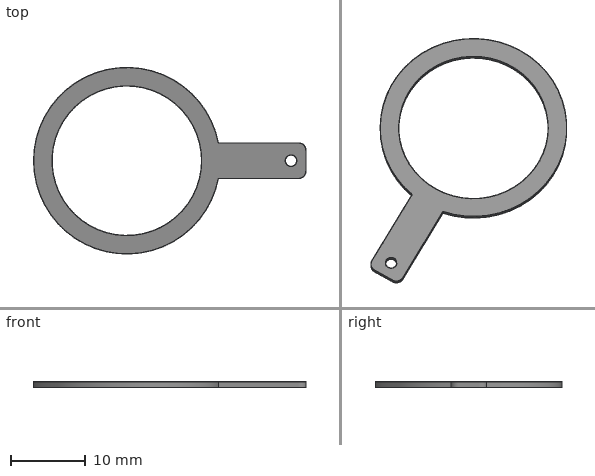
import cadquery as cq

overall_length = 36.5
thickness = 0.8
ring_outer_diameter = 25.0
ring_inner_diameter = 20.0
tab_width = 4.78
tab_corner_radius = 1.0
tab_hole_diameter = 1.5
tab_hole_end_distance = 2.0

tab_end_x = overall_length - ring_outer_diameter / 2
tab_hole_x = tab_end_x - tab_hole_end_distance


def make_disc():
    """Solid disc that carries the ring's outer edge."""
    return cq.Workplane("XY").circle(ring_outer_diameter / 2).extrude(thickness)


def make_tab():
    """Flat handle from the ring centre outward, with rounded end corners."""
    return (
        cq.Workplane("XY")
        .rect(tab_end_x, tab_width)
        .extrude(thickness)
        .translate((tab_end_x / 2, 0, 0))
        .edges("|Z and >X")
        .fillet(tab_corner_radius)
    )


def make_through_hole(diameter, x):
    """Cutting cylinder through the full thickness, on the X axis."""
    return cq.Workplane("XY").center(x, 0).circle(diameter / 2).extrude(thickness)


ring_opening = make_through_hole(ring_inner_diameter, 0)
tab_hole = make_through_hole(tab_hole_diameter, tab_hole_x)

result = make_disc().union(make_tab()).cut(ring_opening).cut(tab_hole)